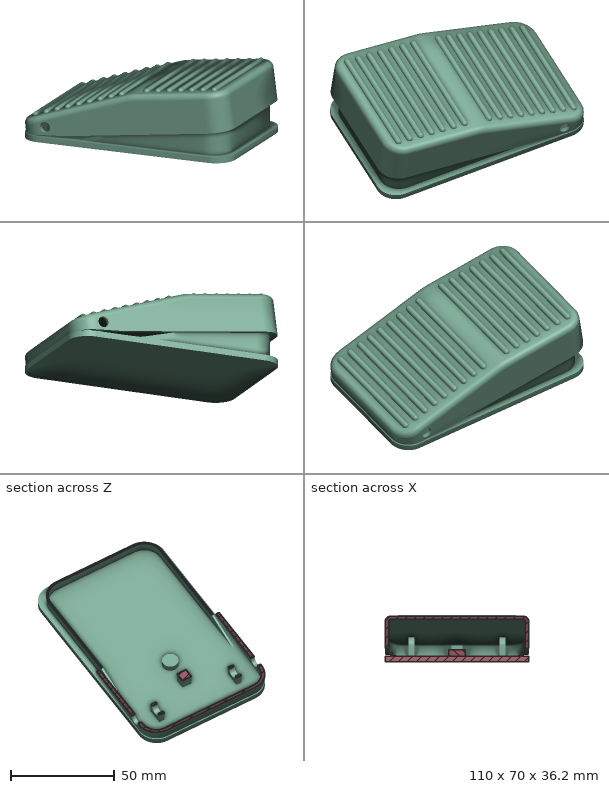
import cadquery as cq
import math

LENGTH = 110.0
WIDTH = 70.0
CORNER_RADIUS = 10.0
PLATE_THICKNESS = 3.0

SKIRT_INSET = 3.0
SKIRT_WALL = 1.0
SKIRT_START = 30.8
SKIRT_SLOPE = 15.0
SKIRT_TOP = 17.0

PIVOT_X = 14.0
PIVOT_Z = 8.0
PIVOT_HOLE = 5.3
LUG_DIAMETER = 8.0
LUG_THICKNESS = 3.0
LUG_OFFSET = 22.0

POST_X = 24.9
POST_SIDE = 5.2
POST_TOP = 8.0
BUMPER_X = 37.7
BUMPER_DIAMETER = 8.0
BUMPER_HEIGHT = 3.1

PEDAL_TILT = 7.5
PEDAL_WALL = 2.0
ROOF_THICKNESS = 1.7
PEDAL_BOTTOM = 3.4
PEDAL_ROOF = 23.2
ROOF_BEND_X = 60.5
ROOF_SLOPE = 11.2
BEND_RADIUS = 18.7
TOP_FILLET = 3.0
HEEL_X = 24.2
HEEL_RELIEF = 1.4

BAR_RADIUS = 1.5
BAR_LENGTH = 59.6
LOWER_BAR_COUNT = 9
LOWER_BAR_SPAN = 48.0
BAR_PITCH = LOWER_BAR_SPAN / (LOWER_BAR_COUNT - 1)
UPPER_BAR_COUNT = 7
LOWER_BAR_START = 6.9
UPPER_BAR_START = 6.7


def side_prism(points, width):
    """Extrude an X-Z outline symmetrically about Y = 0."""
    return cq.Workplane("XZ").polyline(points).close().extrude(width / 2, both=True)


def pivot_cylinder(diameter, length):
    """Cylinder along Y, centred on the hinge axis."""
    pivot = cq.Workplane("XZ").center(PIVOT_X, PIVOT_Z)
    return pivot.circle(diameter / 2).extrude(length / 2, both=True)


def skirt_wall():
    """U-shaped wall whose top ramps up from the plate and then runs level."""
    end_x = LENGTH - SKIRT_INSET
    half_width = WIDTH / 2 - SKIRT_INSET
    ramp_rise = SKIRT_TOP - PLATE_THICKNESS
    ramp_end_x = SKIRT_START + ramp_rise / math.tan(math.radians(SKIRT_SLOPE))

    def rounded_block(inset):
        length = end_x - inset - SKIRT_START
        width = 2 * (half_width - inset)
        block = cq.Workplane("XY").box(length, width, SKIRT_TOP, centered=(False, True, False))
        return block.edges("|Z and >X").fillet(CORNER_RADIUS - inset).translate((SKIRT_START, 0, 0))

    side_profile = side_prism(
        [
            (SKIRT_START, PLATE_THICKNESS),
            (end_x, PLATE_THICKNESS),
            (end_x, SKIRT_TOP),
            (ramp_end_x, SKIRT_TOP),
        ],
        WIDTH,
    )
    return rounded_block(0).cut(rounded_block(SKIRT_WALL)).intersect(side_profile)


def hinge_lug(center_y):
    """Round-topped lug with the hinge hole."""
    foot_height = PIVOT_Z - PLATE_THICKNESS
    foot = cq.Workplane("XY").box(LUG_DIAMETER, LUG_THICKNESS, foot_height, centered=(True, True, False))
    foot = foot.translate((PIVOT_X, 0, PLATE_THICKNESS))
    lug = foot.union(pivot_cylinder(LUG_DIAMETER, LUG_THICKNESS))
    lug = lug.cut(pivot_cylinder(PIVOT_HOLE, WIDTH))
    return lug.translate((0, center_y, 0))


def make_base():
    """Plate with the skirt wall, two hinge lugs and a post."""
    base = cq.Workplane("XY").box(LENGTH, WIDTH, PLATE_THICKNESS, centered=(False, True, False))
    base = base.edges("|Z").fillet(CORNER_RADIUS)
    base = base.union(skirt_wall())
    for side in (-1, 1):
        base = base.union(hinge_lug(side * LUG_OFFSET))
    post = cq.Workplane("XY").box(POST_SIDE, POST_SIDE, POST_TOP, centered=(True, True, False))
    return base.union(post.translate((POST_X, 0, 0)))


def make_bumper():
    """Round pad standing on the plate inside the skirt."""
    bumper = cq.Workplane("XY").circle(BUMPER_DIAMETER / 2).extrude(BUMPER_HEIGHT)
    return bumper.translate((BUMPER_X, 0, PLATE_THICKNESS))


def roof_point(distance):
    """Point on the roof line; negative distances run down the sloped lower part."""
    angle = math.radians(ROOF_SLOPE) if distance < 0 else 0.0
    return ROOF_BEND_X + distance * math.cos(angle), PEDAL_ROOF + distance * math.sin(angle)


def pedal_block(inset, roof_drop, heel_z, sole_z):
    """Pedal-shaped block with walls moved in by the inset and a lowered roof."""
    slope = math.radians(ROOF_SLOPE)
    roof_z = PEDAL_ROOF - roof_drop
    bend_x = ROOF_BEND_X + roof_drop * math.tan(slope / 2)
    low_roof_z = roof_z - (bend_x - inset) * math.tan(slope)
    block = side_prism(
        [
            (inset, heel_z),
            (HEEL_X, sole_z),
            (LENGTH - inset, sole_z),
            (LENGTH - inset, roof_z),
            (bend_x, roof_z),
            (inset, low_roof_z),
        ],
        WIDTH - 2 * inset,
    )
    bend_edge = cq.selectors.NearestToPointSelector((bend_x, 0, roof_z))
    block = block.edges(bend_edge).fillet(BEND_RADIUS - roof_drop)
    block = block.edges("|Z").fillet(CORNER_RADIUS - inset)
    return block.faces(">Z").edges(">X").fillet(TOP_FILLET - inset)


def pedal_shell():
    """Hollow pedal, open underneath, with its heel relieved for the tilt."""
    outside = pedal_block(0, 0, PEDAL_BOTTOM + HEEL_RELIEF, PEDAL_BOTTOM)
    cavity = pedal_block(PEDAL_WALL, ROOF_THICKNESS, 0, 0)
    return outside.cut(cavity).cut(pivot_cylinder(PIVOT_HOLE, 2 * WIDTH))


def grip_bar(distance):
    """Round-ended bar along Y, half sunk in the roof at a distance from its bend."""
    x, z = roof_point(distance)
    straight = BAR_LENGTH - 2 * BAR_RADIUS
    bar = cq.Workplane("XZ").circle(BAR_RADIUS).extrude(straight / 2, both=True)
    for side in (-1, 1):
        bar = bar.union(cq.Workplane("XY").sphere(BAR_RADIUS).translate((0, side * straight / 2, 0)))
    return bar.translate((x, 0, z))


def make_pedal():
    """Pedal with its grip bars, tilted about the hinge axis."""
    pedal = pedal_shell()
    lower_bars = [-LOWER_BAR_START - i * BAR_PITCH for i in range(LOWER_BAR_COUNT)]
    upper_bars = [UPPER_BAR_START + i * BAR_PITCH for i in range(UPPER_BAR_COUNT)]
    for distance in lower_bars + upper_bars:
        pedal = pedal.union(grip_bar(distance))
    return pedal.rotate((PIVOT_X, 0, PIVOT_Z), (PIVOT_X, 1, PIVOT_Z), -PEDAL_TILT)


base = make_base()
bumper = make_bumper()
pedal = make_pedal()

result = cq.Compound.makeCompound([base.val(), bumper.val(), pedal.val()])